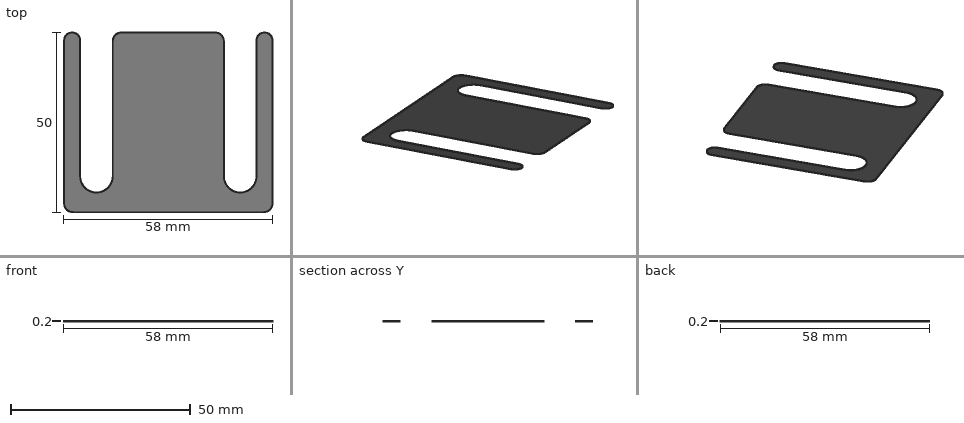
import cadquery as cq

width = 58.0
depth = 50.0
thickness = 0.2
corner_radius = 2.5

slot_width = 9.0
arm_width = 4.5
base_depth = 5.5

right = width / 2
back = depth / 2
front = -depth / 2
slot_radius = slot_width / 2
arm_tip_radius = arm_width / 2
slot_outer_x = right - arm_width
tongue_x = slot_outer_x - slot_width
slot_arc_y = front + base_depth + slot_radius
arm_arc_y = back - arm_tip_radius

right_half = (
    cq.Workplane("XY")
    .moveTo(0, front)
    .lineTo(right - corner_radius, front)
    .radiusArc((right, front + corner_radius), -corner_radius)
    .lineTo(right, arm_arc_y)
    .threePointArc((right - arm_tip_radius, back), (slot_outer_x, arm_arc_y))
    .lineTo(slot_outer_x, slot_arc_y)
    .threePointArc((tongue_x + slot_radius, front + base_depth), (tongue_x, slot_arc_y))
    .lineTo(tongue_x, back - corner_radius)
    .radiusArc((tongue_x - corner_radius, back), -corner_radius)
    .lineTo(0, back)
    .close()
    .extrude(thickness)
)

result = right_half.union(right_half.mirror("YZ")).clean()